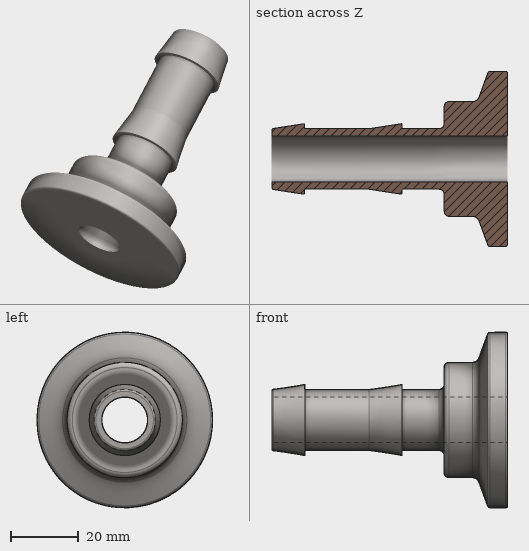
import cadquery as cq
import math

LENGTH = 69.6
BORE_RADIUS = 13.4 / 2

TUBE_RADIUS = 18.0 / 2
TIP_ROUND = 0.6
BARB_RADIUS = 10.5
BARB_LENGTH = 9.75
BARB_STARTS = (0.0, 28.75)

HUB_RADIUS = 34.0 / 2
HUB_FACE = 50.8
HUB_ROUND = 1.5
NECK_FILLET = 1.45

FLANGE_RADIUS = 51.85 / 2
FLANGE_SLOPE = math.radians(20)
CONE_START = 60.6
RIM_START = CONE_START + (FLANGE_RADIUS - HUB_RADIUS) * math.tan(FLANGE_SLOPE)
CONE_FILLET = 2.0
RIM_BACK_ROUND = 0.85
RIM_FRONT_ROUND = 0.6

MATCH_TOLERANCE = 0.01


def outer_body():
    """Solid turned shape of tail, barbs, hub and flange with sharp corners."""
    outline = cq.Workplane("XY").lineTo(0, TUBE_RADIUS)
    for start in BARB_STARTS:
        barb_end = start + BARB_LENGTH
        if start > 0:
            outline = outline.lineTo(start, TUBE_RADIUS)
        outline = outline.lineTo(barb_end, BARB_RADIUS)
        outline = outline.lineTo(barb_end, TUBE_RADIUS)
    outline = (
        outline.lineTo(HUB_FACE, TUBE_RADIUS)
        .lineTo(HUB_FACE, HUB_RADIUS)
        .lineTo(CONE_START, HUB_RADIUS)
        .lineTo(RIM_START, FLANGE_RADIUS)
        .lineTo(LENGTH, FLANGE_RADIUS)
        .lineTo(LENGTH, 0)
        .close()
    )
    return outline.revolve(360, (0, 0, 0), (1, 0, 0))


def round_corner(body, x, radius, size):
    """Fillet the circular edge that lies at the given X and radius."""
    corner = [
        edge
        for edge in body.edges("%CIRCLE").vals()
        if abs(edge.Center().x - x) < MATCH_TOLERANCE
        and abs(edge.radius() - radius) < MATCH_TOLERANCE
    ]
    return body.newObject(corner).fillet(size)


body = outer_body()
for corner_x, corner_radius, round_size in (
    (0, TUBE_RADIUS, TIP_ROUND),
    (HUB_FACE, TUBE_RADIUS, NECK_FILLET),
    (HUB_FACE, HUB_RADIUS, HUB_ROUND),
    (CONE_START, HUB_RADIUS, CONE_FILLET),
    (RIM_START, FLANGE_RADIUS, RIM_BACK_ROUND),
    (LENGTH, FLANGE_RADIUS, RIM_FRONT_ROUND),
):
    body = round_corner(body, corner_x, corner_radius, round_size)

bore = cq.Workplane("YZ").circle(BORE_RADIUS).extrude(LENGTH)
result = body.cut(bore)